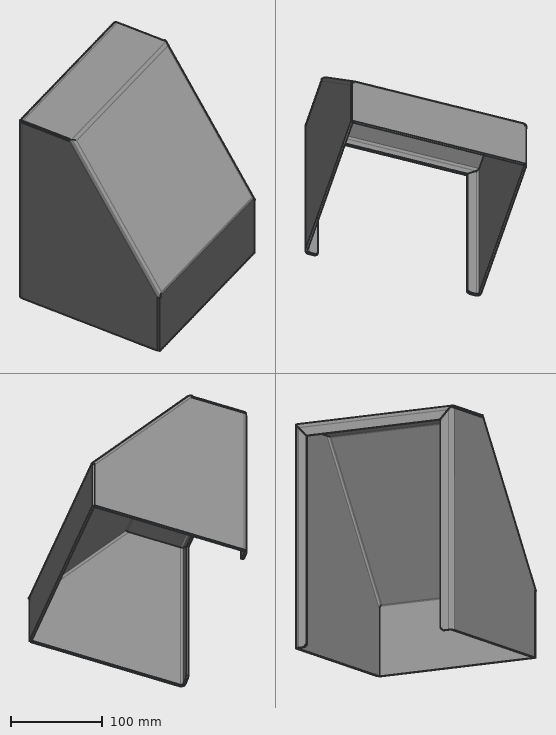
import cadquery as cq
import math

length = 180.3
ear_reach = 1.0
ear_bottom = 75.5
ear_height = 1.3
width = 200.0
height = 250.0
sheet = 2.5
bend_radius = 5.0
top_length = 69.8
rear_height = 79.5
lip_width = 15.0
lip_chamfer = 3.0
seam_step = 1.0
mitre_gap = 0.3

slope_run = length - top_length
slope_rise = height - rear_height
slope_length = math.hypot(slope_run, slope_rise)
margin = 25.0


def side_profile(inset, radius):
    """XZ outline extruded across the width, with the folds across Y rounded."""
    top_corner = top_length - inset * (slope_length - slope_run) / slope_rise
    rear_corner = rear_height - inset * (slope_length - slope_rise) / slope_run
    outline = [
        (inset, 0),
        (length - inset, 0),
        (length - inset, rear_corner),
        (top_corner, height - inset),
        (inset, height - inset),
    ]
    body = cq.Workplane("XZ").polyline(outline).close().extrude(width / 2, both=True)
    above_base = cq.selectors.BoxSelector(
        (-margin, -width, margin),
        (length + margin, width, height + margin),
    )
    return body.edges("|Y").edges(above_base).fillet(radius)


def plan_profile(inset, radius):
    """Upright block whose two front edges carry the side-wall bends."""
    return (
        cq.Workplane("XY")
        .box(length - 2 * inset, width - 2 * inset, height, centered=(False, True, False))
        .translate((inset, 0, 0))
        .edges("|Z and <X")
        .fillet(radius)
    )


def slope_profile(inset, radius):
    """Block below the slope, rounded where the slope bends into the sides."""
    depth = length + height
    block = (
        cq.Workplane("XY")
        .box(3 * depth, width - 2 * inset, depth)
        .edges("|X and >Z")
        .fillet(radius)
        .translate((0, 0, -depth / 2 - inset))
    )
    slope_angle = math.degrees(math.atan2(slope_rise, slope_run))
    return block.rotate((0, 0, 0), (0, 1, 0), slope_angle).translate((top_length, 0, height))


def envelope(inset):
    radius = bend_radius - inset
    body = side_profile(inset, radius).intersect(plan_profile(inset, radius))
    return body.intersect(slope_profile(inset, radius))


def opening():
    """Front opening inside the lip, widened by the chamfers at the bottom."""
    half = width / 2 - lip_width
    outline = [
        (-half - lip_chamfer, 0),
        (half + lip_chamfer, 0),
        (half, lip_chamfer),
        (half, height - lip_width),
        (-half, height - lip_width),
        (-half, lip_chamfer),
    ]
    return cq.Workplane("YZ").polyline(outline).close().extrude(bend_radius)


def seam_steps(side):
    """Steps where the top and rear sheets lap over the edges of a side wall."""
    y = side * (width / 2 - seam_step / 2)
    top_step_length = top_length - bend_radius
    top = cq.Workplane("XY").box(top_step_length, seam_step, sheet).translate(
        (top_step_length / 2, y, height - sheet / 2)
    )
    rear_step_height = rear_height - bend_radius
    rear = cq.Workplane("XY").box(sheet, seam_step, rear_step_height).translate(
        (length - sheet / 2, y, rear_step_height / 2)
    )
    return top.union(rear)


def bend_ear(side):
    """Tip of a slope bend that runs on past the rear wall."""
    trim_length = sheet + ear_reach
    trim = cq.Workplane("XY").box(
        trim_length, sheet, ear_height, centered=(False, True, False)
    ).translate((length - sheet, side * (width - sheet) / 2, ear_bottom))
    return slope_profile(0, bend_radius).intersect(trim)


def mitre_slit(side):
    """Diagonal slit through the lip, from the opening corner to the bends."""
    slit_span = (lip_width - bend_radius) * math.sqrt(2)
    middle = (lip_width + bend_radius) / 2
    return (
        cq.Workplane("XY")
        .box(2 * sheet, slit_span, mitre_gap)
        .rotate((0, 0, 0), (1, 0, 0), side * 45)
        .translate((0, side * (width / 2 - middle), height - middle))
    )


result = envelope(0).cut(envelope(sheet)).cut(opening())
for side in (-1, 1):
    result = result.cut(seam_steps(side)).cut(mitre_slit(side))
    result = result.union(bend_ear(side))